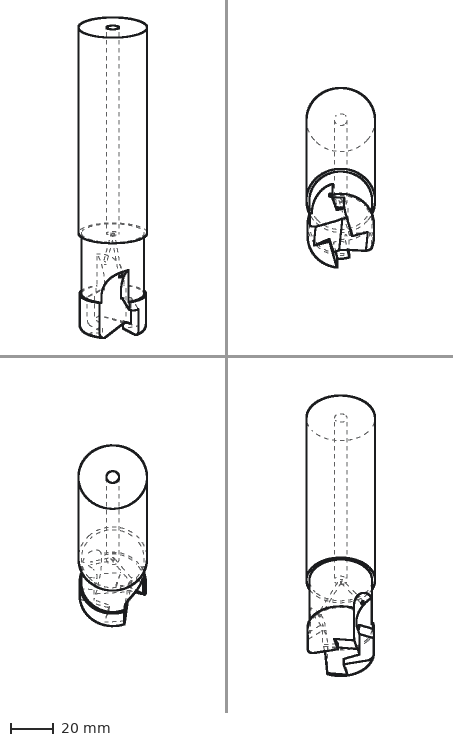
import cadquery as cq
import math

total_length = 147.5
shank_radius = 16.0
shank_bottom = 47.3
neck_radius = 14.6
head_radius = 15.5
head_top = 17.7
nose_fillet = 3.0

flute_floor_x = 7.5
flute_tilt = 8.0
flute_arc_start = 20.2
flute_top = 33.3

pocket_width = 5.5
ceiling_slope_x = 0.58
ceiling_slope_y = 0.27
ceiling_start = cq.Vector(9.1, 0, head_top)

gable_peak = 5.6
gable_slope_x = 0.16
gable_slope_y = 0.43

bore_radius = 3.0
bore_bottom = 47.2
coolant_radius = 0.7
coolant_exit = cq.Vector(10.9, -2.0, 29.5)

clearance = 2 * head_radius


def turned_body():
    head = cq.Workplane("XY").circle(head_radius).extrude(head_top).faces("<Z").edges().fillet(nose_fillet)
    neck = cq.Workplane("XY").workplane(offset=head_top).circle(neck_radius).extrude(shank_bottom - head_top)
    shank_length = total_length - shank_bottom
    shank = cq.Workplane("XY").workplane(offset=shank_bottom).circle(shank_radius).extrude(shank_length)
    return head.union(neck).union(shank)


def box_between(low, high):
    size = [b - a for a, b in zip(low, high)]
    return cq.Workplane("XY").box(*size, centered=False).translate(low)


def below_plane(origin, slope_x, slope_y):
    """Block under the plane that rises by the given slopes along X and Y."""
    plane = cq.Plane(origin=origin, xDir=(1, 0, slope_x), normal=(-slope_x, -slope_y, 1))
    block_side = 4 * clearance
    return cq.Workplane(plane).rect(block_side, block_side).extrude(-block_side)


def flute():
    """Tilted flat floor, running out to the neck on a tangent arc; removes the -Y side."""
    depth = neck_radius - flute_floor_x
    rise = flute_top - flute_arc_start
    radius = (rise**2 + depth**2) / (2 * depth)
    half_angle = math.asin(rise / radius) / 2
    arc_middle = (
        flute_floor_x + radius * (1 - math.cos(half_angle)),
        flute_arc_start + radius * math.sin(half_angle),
    )
    groove = (
        cq.Workplane("XZ")
        .moveTo(flute_floor_x, -clearance)
        .lineTo(flute_floor_x, flute_arc_start)
        .threePointArc(arc_middle, (neck_radius, flute_top))
        .lineTo(clearance, flute_top)
        .lineTo(clearance, -clearance)
        .close()
        .extrude(clearance, both=True)
        .rotate((flute_floor_x, 0, 0), (flute_floor_x, 0, 1), flute_tilt)
    )
    return groove.intersect(box_between((0, -clearance, -clearance), (clearance, 0, total_length)))


def insert_pocket():
    space = box_between((flute_floor_x, 0, -clearance), (clearance, pocket_width, head_top))
    return space.intersect(below_plane(ceiling_start, -ceiling_slope_x, -ceiling_slope_y))


def end_relief():
    """Space below the gable: up to the pocket wall on +Y, and as far as the roof reaches on -Y."""
    space = box_between((0, -clearance, 0), (clearance, pocket_width, gable_peak + head_top))
    peak = (0, 0, gable_peak)
    roof_rising_y = below_plane(peak, -gable_slope_x, gable_slope_y)
    roof_falling_y = below_plane(peak, gable_slope_x, -gable_slope_y)
    return space.intersect(roof_rising_y).intersect(roof_falling_y)


def coolant_hole():
    start = cq.Vector(0, 0, bore_bottom)
    path = coolant_exit - start
    return cq.Workplane(cq.Solid.makeCylinder(coolant_radius, path.Length + bore_radius, start, path))


result = turned_body()
bore = cq.Workplane("XY").workplane(offset=bore_bottom).circle(bore_radius).extrude(total_length - bore_bottom)
result = result.cut(bore)

for turn in (0, 180):
    for tool in (flute(), insert_pocket(), end_relief(), coolant_hole()):
        result = result.cut(tool.rotate((0, 0, 0), (0, 0, 1), turn))